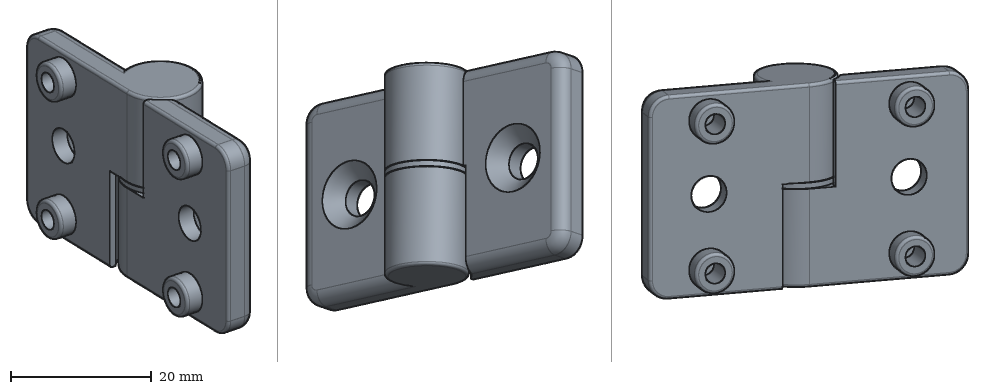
import cadquery as cq
import math

WIDTH = 48.0
HEIGHT = 30.0
KNUCKLE_D = 12.0
PLATE_T = 5.0
CORNER_R = 3.0
ROUND_EDGE_R = 2.0
SMALL_EDGE_R = 0.5

SLOT_H = 1.0
WASHER_GAP = 0.1
WASHER_T = SLOT_H - 2 * WASHER_GAP

CLEARANCE_R = 6.4
RELIEF_X = 4.0

HOLE_SPACING = 30.0
HOLE_X = HOLE_SPACING / 2
HOLE_D = 5.3
COUNTERSINK_D = 10.0
STUD_Z = 11.0
STUD_D = 6.0
STUD_L = 2.8
STUD_EDGE_R = 0.5
BORE_D = 3.0
BORE_DEPTH = 5.0

KNUCKLE_R = KNUCKLE_D / 2
FRONT_Y = -KNUCKLE_R
BACK_Y = FRONT_Y + PLATE_T


def upright_cylinder(radius, bottom, top):
    return cq.Workplane("XY").workplane(offset=bottom).circle(radius).extrude(top - bottom)


def make_half_plate():
    """Left half of the rounded plate that both leaves share when open."""
    plate = cq.Workplane("XZ").workplane(offset=-BACK_Y).rect(WIDTH, HEIGHT).extrude(PLATE_T)
    plate = plate.edges("|Y").fillet(CORNER_R)
    plate = plate.faces(">Y").edges().fillet(ROUND_EDGE_R)
    plate = plate.faces("<Y").edges().fillet(SMALL_EDGE_R)
    left_side = cq.Workplane("XY").box(WIDTH, WIDTH, WIDTH).translate((-WIDTH / 2, 0, 0))
    return plate.intersect(left_side)


def make_clearance():
    """Room for the washer and for the other leaf's knuckle, open toward the mounting face."""
    bottom = -HEIGHT / 2
    top = SLOT_H / 2
    round_part = upright_cylinder(CLEARANCE_R, bottom, top)
    relief_depth = math.sqrt(CLEARANCE_R**2 - RELIEF_X**2)
    relief = (
        cq.Workplane("XY").workplane(offset=bottom)
        .moveTo(-RELIEF_X, -relief_depth)
        .lineTo(-RELIEF_X, -CLEARANCE_R)
        .lineTo(0, -CLEARANCE_R)
        .lineTo(0, -relief_depth)
        .close().extrude(top - bottom)
    )
    keep = cq.Workplane("XY").box(WIDTH, WIDTH, WIDTH).translate((0, WIDTH / 2 - relief_depth, 0))
    return round_part.intersect(keep).union(relief)


def make_knuckle():
    knuckle = upright_cylinder(KNUCKLE_R, SLOT_H / 2, HEIGHT / 2)
    return knuckle.faces(">Z").edges().fillet(SMALL_EDGE_R)


def front_cylinder(diameter, z, y_start, length):
    """Cylinder along +Y at the hole column of the left leaf."""
    return cq.Workplane(
        cq.Solid.makeCylinder(diameter / 2, length, cq.Vector(-HOLE_X, y_start, z), cq.Vector(0, 1, 0))
    )


def make_countersink():
    depth = (COUNTERSINK_D - HOLE_D) / 2
    return cq.Workplane(
        cq.Solid.makeCone(
            HOLE_D / 2, COUNTERSINK_D / 2, depth,
            cq.Vector(-HOLE_X, BACK_Y - depth, 0), cq.Vector(0, 1, 0),
        )
    )


def make_leaf():
    """Left leaf, with its knuckle at the top."""
    leaf = make_half_plate().cut(make_clearance()).union(make_knuckle())
    leaf = leaf.cut(front_cylinder(HOLE_D, 0, FRONT_Y, PLATE_T)).cut(make_countersink())
    stud_end = FRONT_Y - STUD_L
    for z in (-STUD_Z, STUD_Z):
        stud = front_cylinder(STUD_D, z, stud_end, STUD_L).faces("<Y").edges().fillet(STUD_EDGE_R)
        leaf = leaf.union(stud).cut(front_cylinder(BORE_D, z, stud_end, BORE_DEPTH))
    return leaf


def make_washer():
    return upright_cylinder(KNUCKLE_R, -WASHER_T / 2, WASHER_T / 2)


base_leaf = make_leaf()
leaves = [base_leaf.rotate((0, 0, 0), (0, 1, 0), angle) for angle in (0, 180)]
washer = make_washer()

result = cq.Compound.makeCompound([*(leaf.val() for leaf in leaves), washer.val()])